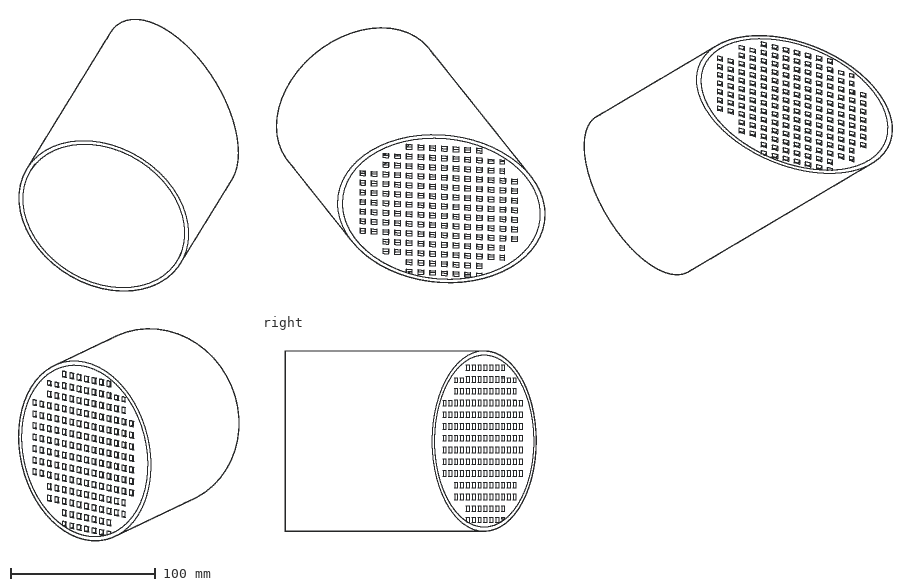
import cadquery as cq
import math

tube_length = 173.8
outer_diameter = 125.0
bore_diameter = 119.0
slant_angle = 30.0

plate_thickness = 3.0
opening_size = 4.0
openings_per_side = 14
grid_span = 105.7
grid_shift = 2.0

zone_short = 56.3
zone_long = 113.0
zone_square = 87.6
zones = [
    (zone_short, zone_long),
    (zone_square, zone_square),
    (zone_long, zone_short),
]

pitch = grid_span / (openings_per_side - 1)
slant_sin = math.sin(math.radians(slant_angle))
slant_cos = math.cos(math.radians(slant_angle))
slant_center_y = tube_length - outer_diameter / 2 * slant_sin / slant_cos
cutter_size = 2 * tube_length

slant_plane = cq.Plane(
    origin=(0, slant_center_y, 0),
    xDir=(slant_cos, -slant_sin, 0),
    normal=(-slant_sin, -slant_cos, 0),
)


def cylinder_along_y(diameter):
    """Full-length cylinder from Y = 0 towards +Y."""
    return cq.Workplane("XZ").circle(diameter / 2).extrude(-tube_length)


def slant_block(width, height, depth):
    """Block centred on the slanted end; a positive depth goes into the tube."""
    return cq.Workplane(slant_plane).rect(width, height).extrude(depth)


def make_tube():
    """Round tube with one end cut on the slant."""
    tube = cylinder_along_y(outer_diameter).cut(cylinder_along_y(bore_diameter))
    return tube.cut(slant_block(cutter_size, cutter_size, -cutter_size))


def make_openings():
    """Square grid of prisms normal to the plate, trimmed to the zones."""
    grid = (
        cq.Workplane(slant_plane)
        .center(grid_shift, -grid_shift)
        .rarray(pitch, pitch, openings_per_side, openings_per_side)
        .rect(opening_size, opening_size)
        .extrude(plate_thickness)
    )
    allowed = cq.Workplane(slant_plane)
    for width, height in zones:
        allowed = allowed.union(slant_block(width, height, plate_thickness))
    return grid.intersect(allowed)


def make_grating():
    """Elliptical plate inside the bore, pierced by the openings."""
    slab = slant_block(cutter_size, cutter_size, plate_thickness)
    plate = cylinder_along_y(bore_diameter).intersect(slab)
    return plate.cut(make_openings())


tube = make_tube()
grating = make_grating()

result = cq.Compound.makeCompound([*tube.solids().vals(), *grating.solids().vals()])